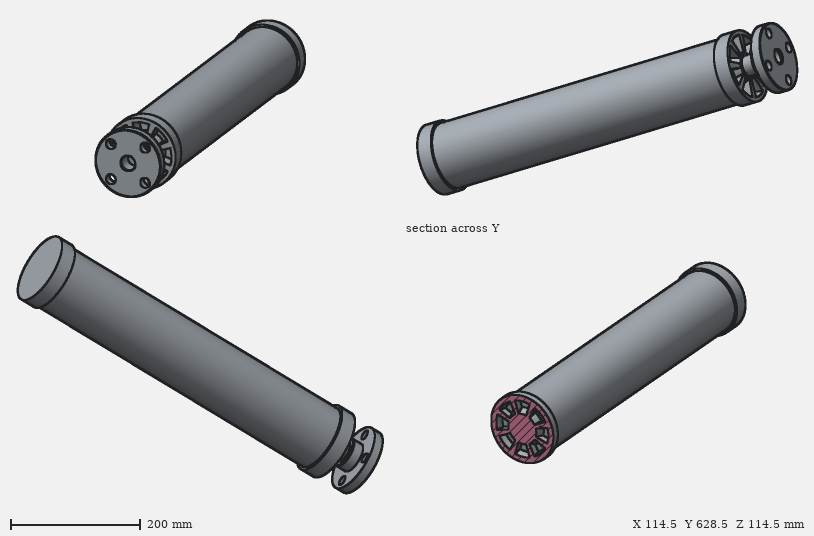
import cadquery as cq

total_length = 628.5
front_face_y = -total_length / 2
flange_thickness = 16.5
hub_length = 19.0
neck_length = 22.0
cap_length = 25.0
hub_y = front_face_y + flange_thickness
neck_y = hub_y + hub_length
front_cap_y = neck_y + neck_length
tube_y = front_cap_y + cap_length
rear_cap_y = total_length / 2 - cap_length
tube_length = rear_cap_y - tube_y

flange_diameter = 108.0
hub_diameter = 49.0
neck_diameter = 33.5
front_cap_diameter = 114.5
tube_diameter = 105.0
rear_cap_diameter = 112.5

bolt_hole_diameter = 16.0
bolt_hole_spacing = 56.5

mouth_diameter = 24.5
mouth_depth = 4.0
bore_diameter = 24.0
bore_depth = 31.5
pilot_diameter = 2.5
pilot_depth = 6.0

spoke_count = 8
spoke_root_width = 6.0
spoke_tip_width = 11.5
rim_front_diameter = 100.5
rim_back_diameter = 88.0
core_front_diameter = 41.5
core_back_diameter = 63.0

flange_bevel_length = 0.5
flange_bevel_width = 1.0
hub_bevel_length = 2.0
hub_bevel_width = 0.5


def cylinder(diameter, start_y, length):
    """Cylinder on the Y axis running toward +Y from start_y."""
    axis_plane = cq.Plane(origin=(0, start_y, 0), xDir=(1, 0, 0), normal=(0, 1, 0))
    return cq.Workplane(axis_plane).circle(diameter / 2).extrude(length)


def taper(start_diameter, end_diameter, start_y, length):
    """Cone on the Y axis running toward +Y."""
    cone = cq.Solid.makeCone(
        start_diameter / 2,
        end_diameter / 2,
        length,
        pnt=cq.Vector(0, start_y, 0),
        dir=cq.Vector(0, 1, 0),
    )
    return cq.Workplane(cone)


def flange():
    bevel_y = front_face_y + flange_bevel_length
    face_diameter = flange_diameter - 2 * flange_bevel_width
    bevel = taper(face_diameter, flange_diameter, front_face_y, flange_bevel_length)
    return bevel.union(cylinder(flange_diameter, bevel_y, flange_thickness - flange_bevel_length))


def hub():
    straight_length = hub_length - hub_bevel_length
    back_diameter = hub_diameter - 2 * hub_bevel_width
    bevel = taper(hub_diameter, back_diameter, hub_y + straight_length, hub_bevel_length)
    return bevel.union(cylinder(hub_diameter, hub_y, straight_length))


def outer_body():
    body = flange().union(hub())
    body = body.union(cylinder(neck_diameter, neck_y, neck_length))
    body = body.union(cylinder(front_cap_diameter, front_cap_y, cap_length))
    body = body.union(cylinder(tube_diameter, tube_y, tube_length))
    return body.union(cylinder(rear_cap_diameter, rear_cap_y, cap_length))


def bolt_holes():
    hole = cylinder(bolt_hole_diameter, front_face_y, flange_thickness)
    holes = cq.Workplane()
    for x_side in (-1, 1):
        for z_side in (-1, 1):
            offset = (x_side * bolt_hole_spacing / 2, 0, z_side * bolt_hole_spacing / 2)
            holes = holes.add(hole.translate(offset))
    return holes.combine()


def centre_bore():
    mouth = cylinder(mouth_diameter, front_face_y, mouth_depth)
    bore = cylinder(bore_diameter, front_face_y, bore_depth)
    pilot = cylinder(pilot_diameter, front_face_y + bore_depth, pilot_depth)
    return mouth.union(bore).union(pilot)


def spoke():
    """One spoke along +X, wider at the rim than at the core."""
    root_radius = core_front_diameter / 2
    tip_radius = rim_front_diameter / 2
    corners = [
        (root_radius, -spoke_root_width / 2),
        (tip_radius, -spoke_tip_width / 2),
        (tip_radius, spoke_tip_width / 2),
        (root_radius, spoke_root_width / 2),
    ]
    front_plane = cq.Workplane("XZ", origin=(0, front_cap_y, 0))
    return front_plane.polyline(corners).close().extrude(-cap_length)


def spoke_openings():
    openings = taper(rim_front_diameter, rim_back_diameter, front_cap_y, cap_length)
    openings = openings.cut(taper(core_front_diameter, core_back_diameter, front_cap_y, cap_length))
    spoke_pitch = 360 / spoke_count
    for index in range(spoke_count):
        angle = (index + 0.5) * spoke_pitch
        openings = openings.cut(spoke().rotate((0, 0, 0), (0, 1, 0), angle))
    return openings


result = outer_body()
result = result.cut(bolt_holes())
result = result.cut(centre_bore())
result = result.cut(spoke_openings())